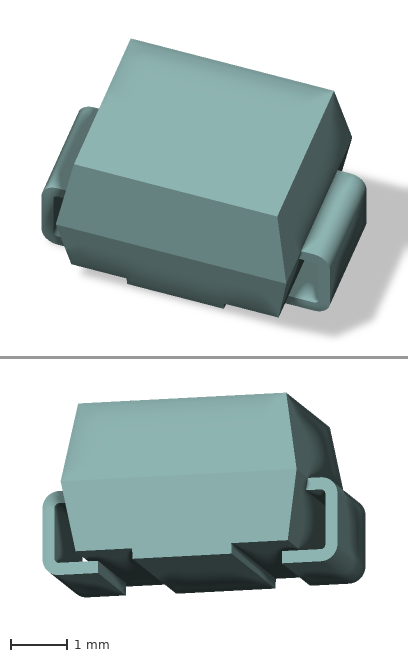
import cadquery as cq
import math


overall_length = 5.4
overall_height = 2.97

body_length = 4.32
body_width = 3.63
parting_height = 1.525
underside_height = 0.285
draft_angle = 10.0

pad_length = 1.815
pad_bottom_height = 0.1

lead_width = 2.01
lead_thickness = 0.22
inner_bend_radius = 0.08
foot_length = 1.015
lead_embed = 0.27

outer_bend_radius = inner_bend_radius + lead_thickness


def tapered_block(height):
    """Frustum drawn in from the parting plane; a negative height goes downward."""
    return (
        cq.Workplane("XY", origin=(0, 0, parting_height))
        .rect(body_length, body_width)
        .extrude(height, taper=draft_angle)
    )


def make_body():
    """Upper and lower tapered halves meeting at the parting plane."""
    upper = tapered_block(overall_height - parting_height)
    lower = tapered_block(underside_height - parting_height)
    return upper.union(lower)


def half_width_below_parting(height):
    """Half of the Y width of the lower, drafted sides at the given height."""
    inset = (parting_height - height) * math.tan(math.radians(draft_angle))
    return body_width / 2 - inset


def make_pad():
    """Raised pad with upright ends whose sides carry on the draft of the body."""
    bottom_half_width = half_width_below_parting(pad_bottom_height)
    top_half_width = half_width_below_parting(underside_height)
    return (
        cq.Workplane("YZ")
        .moveTo(-bottom_half_width, pad_bottom_height)
        .lineTo(bottom_half_width, pad_bottom_height)
        .lineTo(top_half_width, underside_height)
        .lineTo(-top_half_width, underside_height)
        .close()
        .extrude(pad_length / 2, both=True)
    )


def make_left_lead():
    """C-shaped strip leaving the body at the parting plane and folding under it."""
    outer_x = -overall_length / 2
    inner_x = outer_x + lead_thickness
    embedded_x = -body_length / 2 + lead_embed
    foot_end_x = outer_x + foot_length
    foot_top = lead_thickness
    arm_bottom = parting_height - lead_thickness
    strip = (
        cq.Workplane("XZ")
        .moveTo(embedded_x, parting_height)
        .lineTo(outer_x, parting_height)
        .lineTo(outer_x, 0)
        .lineTo(foot_end_x, 0)
        .lineTo(foot_end_x, foot_top)
        .lineTo(inner_x, foot_top)
        .lineTo(inner_x, arm_bottom)
        .lineTo(embedded_x, arm_bottom)
        .close()
        .extrude(lead_width / 2, both=True)
    )
    rounded = strip.edges("|Y and <X").fillet(outer_bend_radius)
    for corner_z in (foot_top, arm_bottom):
        inner_corner = cq.selectors.NearestToPointSelector((inner_x, 0, corner_z))
        rounded = rounded.edges("|Y").edges(inner_corner).fillet(inner_bend_radius)
    return rounded


body = make_body().union(make_pad())
left_lead = make_left_lead()
right_lead = left_lead.mirror("YZ")
result = body.union(left_lead).union(right_lead)